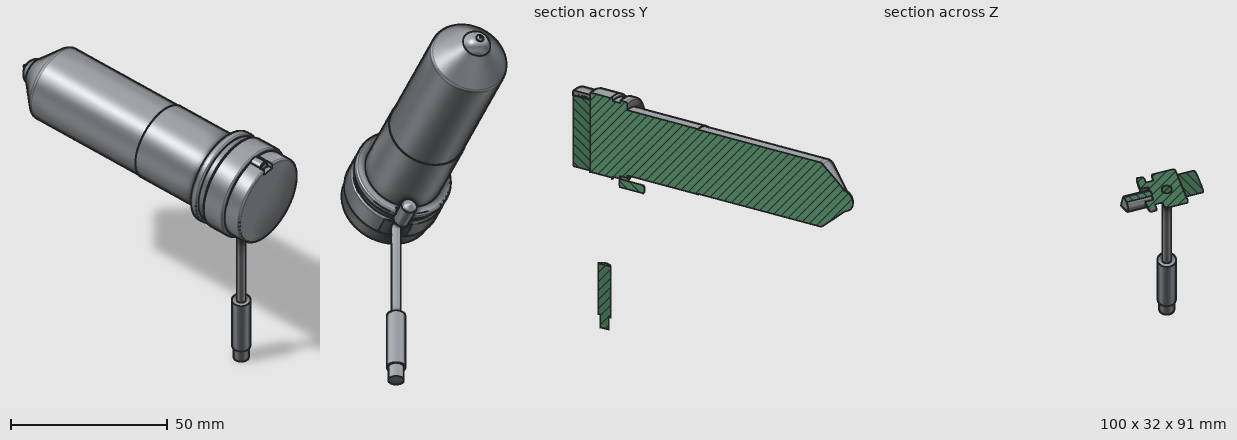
import cadquery as cq
import math


tip_radius = 1.2
tip_chamfer = 0.8
tip_length = 1.0
dome_end_x = 4.3
dome_end_radius = 4.6
cone_length = 8.2
cone_angle = math.radians(45)
shoulder_fillet = 1.5

tube_radius = dome_end_radius + cone_length * math.tan(cone_angle)
sleeve_start_x = 55.9
sleeve_radius = 13.0

flange_start_x = 80.8
flange_end_x = 83.5
collar_start_x = 85.9
collar_end_x = 94.0
rim_radius = 16.0
neck_radius = 15.0
rim_fillet = 0.6

ring_end_x = 100.0
ring_radius = 15.0
ring_start_fillet = 0.3
ring_end_fillet = 0.6
slot_floor_z = 13.0

key_radius = 2.0
key_end_x = 98.2
key_end_chamfer = 0.3
key_axis_z = 13.5

guide_radius = 2.6
guide_axis_z = -16.5
guide_tip_x = 73.5
guide_shoulder_x = 75.2
guide_chamfer = 0.4
guide_tail_x = flange_end_x
guide_tail_height = 0.8
guide_notch_clearance = 0.1
guide_notch_top_z = guide_axis_z + guide_radius + guide_notch_clearance

cable_flat_start_x = 86.3
cable_flat_z = -15.3

cable_x = 88.9
cable_radius = 1.5
cable_socket_depth = 3.0
plug_radius = 3.0
plug_top_z = -50.0
plug_length = 20.0
plug_end_radius = 2.5
plug_end_length = 5.0


def x_cylinder(start_x, end_x, radius, axis_z=0.0):
    """Cylinder along X between two X positions."""
    length = end_x - start_x
    return cq.Workplane("YZ", origin=(start_x, 0, axis_z)).circle(radius).extrude(length)


def spin_about_x(profile, axis_z=0.0):
    """Revolve a profile, drawn as (x, radius), about a line parallel to X."""
    solid = profile.close().revolve(360, (0, 0, 0), (1, 0, 0))
    return solid.translate((0, 0, axis_z))


def dome_midpoint(start, end, center_x):
    """Point halfway along an arc whose centre lies on the axis at center_x."""
    radius = math.hypot(start[0] - center_x, start[1])
    start_angle = math.atan2(start[1], start[0] - center_x)
    end_angle = math.atan2(end[1], end[0] - center_x)
    angle = (start_angle + end_angle) / 2
    return (center_x + radius * math.cos(angle), radius * math.sin(angle))


def dome_center_x(start, end):
    """X of the axis point that is equally far from both ends of the dome arc."""
    squares = end[0] ** 2 + end[1] ** 2 - start[0] ** 2 - start[1] ** 2
    return squares / (2 * (end[0] - start[0]))


def make_front_tube():
    """Nose tip, dome, cone, rounded shoulder and tube, turned from one profile."""
    dome_start = (tip_length, tip_radius)
    dome_end = (dome_end_x, dome_end_radius)
    dome_middle = dome_midpoint(dome_start, dome_end, dome_center_x(dome_start, dome_end))

    shoulder_x = dome_end_x + cone_length
    fillet_setback = shoulder_fillet * math.tan(cone_angle / 2)
    fillet_start_x = shoulder_x - fillet_setback * math.cos(cone_angle)
    fillet_start_radius = tube_radius - fillet_setback * math.sin(cone_angle)
    fillet_end_x = shoulder_x + fillet_setback
    fillet_middle = (
        fillet_end_x - shoulder_fillet * math.sin(cone_angle / 2),
        tube_radius - shoulder_fillet * (1 - math.cos(cone_angle / 2)),
    )

    profile = (
        cq.Workplane("XZ")
        .moveTo(0, 0)
        .lineTo(0, tip_radius - tip_chamfer)
        .lineTo(tip_chamfer, tip_radius)
        .lineTo(*dome_start)
        .threePointArc(dome_middle, dome_end)
        .lineTo(fillet_start_x, fillet_start_radius)
        .threePointArc(fillet_middle, (fillet_end_x, tube_radius))
        .lineTo(sleeve_start_x, tube_radius)
        .lineTo(sleeve_start_x, 0)
    )
    return spin_about_x(profile)


def make_guide_notch():
    """Square notch through the flange that clears the guide pin."""
    width = 2 * guide_radius
    height = guide_notch_top_z + rim_radius
    length = flange_end_x - flange_start_x
    notch = cq.Workplane("XY").box(length, width, height, centered=(False, True, False))
    return notch.translate((flange_start_x, 0, -rim_radius))


def make_cable_flat():
    """Block that cuts the flat on the underside of the collar."""
    length = collar_end_x - cable_flat_start_x
    depth = cable_flat_z + rim_radius
    block = cq.Workplane("XY").box(length, 2 * rim_radius, depth, centered=(False, True, False))
    return block.translate((cable_flat_start_x, 0, -rim_radius))


def make_housing(guide_pin, cable):
    """Probe housing: nose, tube, sleeve, flange, neck and collar."""
    sleeve = x_cylinder(sleeve_start_x, flange_start_x, sleeve_radius)
    flange = x_cylinder(flange_start_x, flange_end_x, rim_radius).edges().fillet(rim_fillet)
    neck = x_cylinder(flange_end_x, collar_start_x, neck_radius)
    collar = x_cylinder(collar_start_x, collar_end_x, rim_radius).edges().fillet(rim_fillet)
    housing = make_front_tube().union(sleeve).union(flange).union(neck).union(collar)
    housing = housing.cut(make_guide_notch()).cut(make_cable_flat())
    return housing.cut(guide_pin).cut(cable)


def make_key_pin():
    """Round key pin lying along the slot of the end ring."""
    pin = x_cylinder(collar_end_x, key_end_x, key_radius, key_axis_z)
    return pin.faces(">X").chamfer(key_end_chamfer)


def make_end_ring(key_pin):
    """Ring behind the collar, with a flat-floored slot along its top for the key pin."""
    ring = x_cylinder(collar_end_x, ring_end_x, ring_radius)
    ring = ring.faces("<X").edges().fillet(ring_start_fillet)
    ring = ring.faces(">X").edges().fillet(ring_end_fillet)
    slot_length = ring_end_x - collar_end_x
    slot = cq.Workplane("XY").box(slot_length, 2 * key_radius, ring_radius, centered=(False, True, False))
    ring = ring.cut(slot.translate((collar_end_x, 0, slot_floor_z)))
    return ring.cut(key_pin)


def make_guide_pin():
    """Guide pin with a chamfered, conical tip and a shallow domed tail."""
    tip = (guide_tip_x, 0)
    tip_end = (guide_shoulder_x - guide_chamfer, guide_radius - guide_chamfer)
    tail_start = (guide_tail_x, guide_radius)
    tail = (guide_tail_x + guide_tail_height, 0)
    profile = (
        cq.Workplane("XZ")
        .moveTo(*tip)
        .lineTo(*tip_end)
        .lineTo(guide_shoulder_x, guide_radius)
        .lineTo(*tail_start)
        .threePointArc(dome_midpoint(tail_start, tail, dome_center_x(tail_start, tail)), tail)
    )
    return spin_about_x(profile, guide_axis_z)


def make_cable():
    """Cable, plug and plug end, one below the other."""
    cable_top_z = cable_socket_depth - rim_radius
    plug_bottom_z = plug_top_z - plug_length
    cable = cq.Workplane("XY", origin=(cable_x, 0, plug_top_z)).circle(cable_radius)
    plug = cq.Workplane("XY", origin=(cable_x, 0, plug_top_z)).circle(plug_radius)
    plug_end = cq.Workplane("XY", origin=(cable_x, 0, plug_bottom_z)).circle(plug_end_radius)
    return (
        cable.extrude(cable_top_z - plug_top_z)
        .union(plug.extrude(-plug_length))
        .union(plug_end.extrude(-plug_end_length))
    )


guide_pin = make_guide_pin()
cable = make_cable()
key_pin = make_key_pin()
housing = make_housing(guide_pin, cable)
end_ring = make_end_ring(key_pin)

result = cq.Compound.makeCompound(
    [housing.val(), end_ring.val(), key_pin.val(), guide_pin.val(), cable.val()]
)